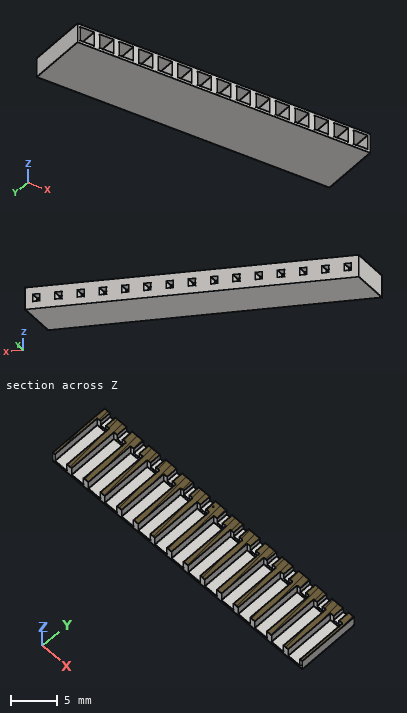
import cadquery as cq

contact_count = 15
pitch = 2.54
length = contact_count * pitch
depth = 8.0
height = 2.5

cavity_side = 1.8
window_side = 0.8
back_wall = 1.5
cavity_depth = depth - back_wall


def square_cuts(body, side, cut_depth):
    """Cut a row of square openings into the front face, one per contact."""
    return (
        body.faces("<Y")
        .workplane(centerOption="CenterOfBoundBox")
        .rarray(pitch, pitch, contact_count, 1)
        .rect(side, side)
        .cutBlind(-cut_depth)
    )


housing = cq.Workplane("XY").box(length, depth, height)
housing = square_cuts(housing, cavity_side, cavity_depth)
housing = square_cuts(housing, window_side, depth)

result = housing